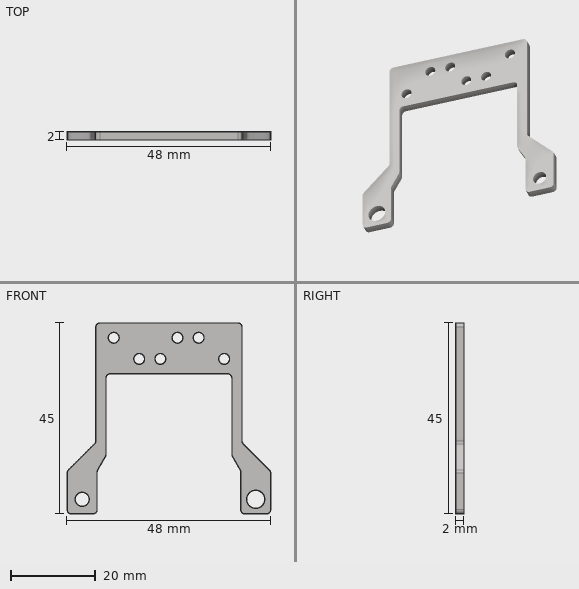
import cadquery as cq
import math

total_width = 48.0
total_height = 45.0
thickness = 2.0

body_width = 34.5
opening_width = 29.6
bridge_height = 12.0

foot_width = 7.1
outer_bend_depth = 28.2
inner_bend_depth = 31.25
outer_slope = math.radians(45)
inner_slope = math.radians(60)

corner_radius = 1.0

bridge_hole_diameter = 2.5
bridge_hole_offsets = (-13.0, 2.0, 7.0)
upper_row_depth = 3.5
row_spacing = 5.0

foot_hole_height = 3.45
left_foot_hole_diameter = 3.25
right_foot_hole_diameter = 4.2

half_width = total_width / 2
half_body = body_width / 2
half_opening = opening_width / 2
foot_inner_x = half_width - foot_width
foot_center_x = half_width - foot_width / 2
top_z = total_height / 2
bottom_z = -top_z
back_face = (0, thickness / 2, 0)


def make_plate():
    """Extrude the symmetric bracket outline and round all its corners."""
    outer_bend_z = top_z - outer_bend_depth
    foot_outer_z = outer_bend_z - (half_width - half_body) * math.tan(outer_slope)
    inner_bend_z = top_z - inner_bend_depth
    foot_inner_z = inner_bend_z - (foot_inner_x - half_opening) * math.tan(inner_slope)

    right_side = [
        (half_body, top_z),
        (half_body, outer_bend_z),
        (half_width, foot_outer_z),
        (half_width, bottom_z),
        (foot_inner_x, bottom_z),
        (foot_inner_x, foot_inner_z),
        (half_opening, inner_bend_z),
        (half_opening, top_z - bridge_height),
    ]
    left_side = [(-x, z) for x, z in reversed(right_side)]
    return (
        cq.Workplane("XZ", origin=back_face)
        .polyline(right_side + left_side)
        .close()
        .extrude(thickness)
        .edges("|Y")
        .fillet(corner_radius)
    )


def drill(plate, centers, diameter):
    """Cut through holes along Y at the given (x, z) centres."""
    drills = (
        cq.Workplane("XZ", origin=back_face)
        .pushPoints(centers)
        .circle(diameter / 2)
        .extrude(thickness)
    )
    return plate.cut(drills)


upper_row_z = top_z - upper_row_depth
lower_row_z = upper_row_z - row_spacing
upper_row = [(x, upper_row_z) for x in bridge_hole_offsets]
lower_row = [(-x, lower_row_z) for x in bridge_hole_offsets]
foot_hole_z = bottom_z + foot_hole_height

result = make_plate()
result = drill(result, upper_row + lower_row, bridge_hole_diameter)
result = drill(result, [(-foot_center_x, foot_hole_z)], left_foot_hole_diameter)
result = drill(result, [(foot_center_x, foot_hole_z)], right_foot_hole_diameter)